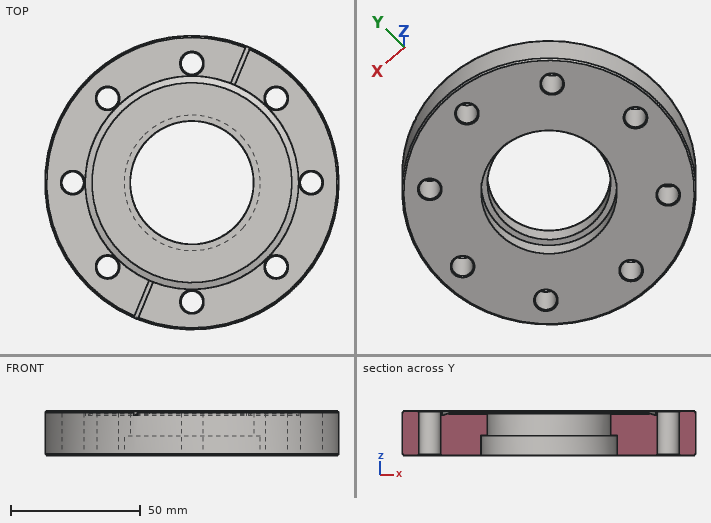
import cadquery as cq

outer_diameter = 113.5
thickness = 17.3
edge_chamfer = 0.7

bore_diameter = 47.6
socket_diameter = 52.5
socket_depth = 7.7

recess_diameter = 82.4
recess_depth = 1.7
knife_diameter = 77.2
knife_tip_depth = 0.8
inner_floor_depth = 1.1

bolt_count = 8
bolt_circle_diameter = 92.1
bolt_hole_diameter = 8.4
bolt_hole_chamfer = 0.5

groove_width = 1.7
groove_inner_depth = 1.0
groove_rim_depth = 1.7
groove_angle = 67.5


def make_flange_ring():
    """Revolve the half section of the flange about Z."""
    outer_radius = outer_diameter / 2
    bore_radius = bore_diameter / 2
    socket_radius = socket_diameter / 2
    recess_radius = recess_diameter / 2
    knife_radius = knife_diameter / 2
    section = [
        (socket_radius, 0),
        (outer_radius - edge_chamfer, 0),
        (outer_radius, edge_chamfer),
        (outer_radius, thickness - edge_chamfer),
        (outer_radius - edge_chamfer, thickness),
        (recess_radius, thickness),
        (recess_radius, thickness - recess_depth),
        (knife_radius, thickness - knife_tip_depth),
        (knife_radius, thickness - inner_floor_depth),
        (bore_radius, thickness - inner_floor_depth),
        (bore_radius, socket_depth),
        (socket_radius, socket_depth),
    ]
    return cq.Workplane("XZ").polyline(section).close().revolve(360, (0, 0), (0, 1))


def cut_bolt_holes(flange):
    """Cut the through holes, chamfered at both ends."""
    mouth_diameter = bolt_hole_diameter + 2 * bolt_hole_chamfer
    return (
        flange.faces(">Z")
        .workplane(origin=(0, 0, thickness))
        .polarArray(bolt_circle_diameter / 2, 0, 360, bolt_count)
        .cskHole(bolt_hole_diameter, mouth_diameter, 90)
        .faces("<Z")
        .workplane(origin=(0, 0, 0))
        .polarArray(bolt_circle_diameter / 2, 0, 360, bolt_count)
        .cskHole(bolt_hole_diameter, mouth_diameter, 90)
    )


def cut_leak_grooves(flange):
    """Cut two opposite grooves from the sealing recess to the rim."""
    inner_radius = recess_diameter / 2
    outer_radius = outer_diameter / 2
    profile = [
        (inner_radius - groove_width, thickness),
        (inner_radius - groove_width, thickness - groove_inner_depth),
        (inner_radius, thickness - groove_inner_depth),
        (outer_radius, thickness - groove_rim_depth),
        (outer_radius, thickness),
    ]
    groove = cq.Workplane("XZ").polyline(profile).close().extrude(groove_width / 2, both=True)
    for angle in (groove_angle, groove_angle + 180):
        flange = flange.cut(groove.rotate((0, 0, 0), (0, 0, 1), angle))
    return flange


result = cut_leak_grooves(cut_bolt_holes(make_flange_ring()))